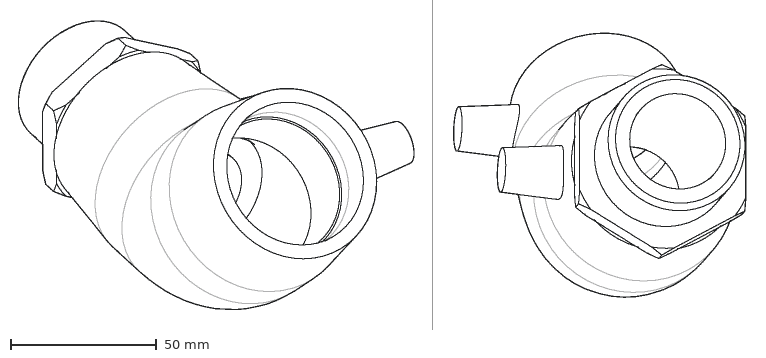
import cadquery as cq
import math

bend_angle = 45.0
body_diameter = 67.0
end_diameter = 60.3
body_radius = body_diameter / 2

thread_diameter = 47.8
thread_chamfer = 2.2
nut_start = 26.5
nut_width = 9.1
nut_end = nut_start + nut_width
taper_end = 68.2
bend_start = 85.8

across_flats = 58.1
across_corners = across_flats / math.cos(math.radians(30))
nut_chamfer = 2.0

branch_straight = 17.1
branch_length = 49.6

run_bore = 33.5
socket_bore = 50.0
socket_mouth = 50.5
mouth_depth = 13.0
socket_depth = 19.6
sleeve_bore = 48.5
sleeve_start = 3.5

pin_tip_diameter = 15.3
pin_root_diameter = 18.6
pin_base_y = 26.9
pin_root_y = 30.4
pin_tip_y = 51.0
pin_distance = 31.7

pivot_clearance = 0.2
bend_radius = body_radius + pivot_clearance
angle = math.radians(bend_angle)
axis = cq.Vector(math.cos(angle), 0, math.sin(angle))
branch_origin = cq.Vector(
    bend_start + bend_radius * math.sin(angle), 0, bend_radius * (1 - math.cos(angle))
)
run_plane = cq.Plane(origin=(0, 0, 0), xDir=(0, 1, 0), normal=(1, 0, 0))
branch_plane = cq.Plane(origin=branch_origin.toTuple(), xDir=(0, 1, 0), normal=axis.toTuple())


def cylinder(plane, diameter, start, end):
    """Cylinder along the plane normal between two stations."""
    return cq.Workplane(plane).workplane(offset=start).circle(diameter / 2).extrude(end - start)


def cone(plane, start_diameter, end_diameter, start, end):
    """Truncated cone along the plane normal between two stations."""
    base = plane.origin + plane.zDir * start
    solid = cq.Solid.makeCone(start_diameter / 2, end_diameter / 2, end - start, base, plane.zDir)
    return cq.Workplane(solid)


def bend(diameter, start, radius):
    """Round section swept from the run to the branch with the given axis radius."""
    return (
        cq.Workplane(run_plane)
        .workplane(offset=start)
        .circle(diameter / 2)
        .revolve(bend_angle, (0, radius, 0), (-1, radius, 0))
    )


def threaded_end():
    return cylinder(run_plane, thread_diameter, 0, nut_start).faces("<X").chamfer(thread_chamfer)


def hex_nut():
    """Hexagon with two corners on the Z axis and both faces chamfered round."""
    hexagon = (
        cq.Workplane(run_plane)
        .workplane(offset=nut_start)
        .transformed(rotate=(0, 0, 90))
        .polygon(6, across_corners)
        .extrude(nut_width)
    )
    envelope = cylinder(run_plane, across_corners, nut_start, nut_end)
    return hexagon.intersect(envelope.faces("<X or >X").chamfer(nut_chamfer))


def outer_elbow():
    run_taper = cone(run_plane, end_diameter, body_diameter, nut_end, taper_end)
    run_straight = cylinder(run_plane, body_diameter, taper_end, bend_start)
    straight = cylinder(branch_plane, body_diameter, 0, branch_straight)
    taper = cone(branch_plane, body_diameter, end_diameter, branch_straight, branch_length)
    curve = bend(body_diameter, bend_start, bend_radius)
    return run_taper.union(run_straight).union(curve).union(straight).union(taper)


def terminal_pin(x, z):
    """Tapered pin pointing along +Y."""
    plane = cq.Plane(origin=(x, 0, z), xDir=(1, 0, 0), normal=(0, 1, 0))
    root = cylinder(plane, pin_root_diameter, pin_base_y, pin_root_y)
    return root.union(cone(plane, pin_root_diameter, pin_tip_diameter, pin_root_y, pin_tip_y))


def inner_passage():
    """Run bore, wide bend, narrower sleeve, then the socket with a slightly flared mouth."""
    mouth_start = branch_length - mouth_depth
    sleeve_end = branch_length - socket_depth
    cavity_start = bend_start - sleeve_start
    cavity_radius = bend_radius + sleeve_start / math.tan(angle / 2)
    passage = cylinder(run_plane, run_bore, 0, cavity_start)
    passage = passage.union(bend(socket_bore, cavity_start, cavity_radius))
    passage = passage.union(cylinder(branch_plane, sleeve_bore, sleeve_start, sleeve_end))
    passage = passage.union(cylinder(branch_plane, socket_bore, sleeve_end, mouth_start))
    return passage.union(cone(branch_plane, socket_bore, socket_mouth, mouth_start, branch_length))


branch_pin = branch_origin + axis * pin_distance
result = (
    outer_elbow()
    .union(threaded_end())
    .union(hex_nut())
    .union(terminal_pin(bend_start - pin_distance, 0))
    .union(terminal_pin(branch_pin.x, branch_pin.z))
    .cut(inner_passage())
)